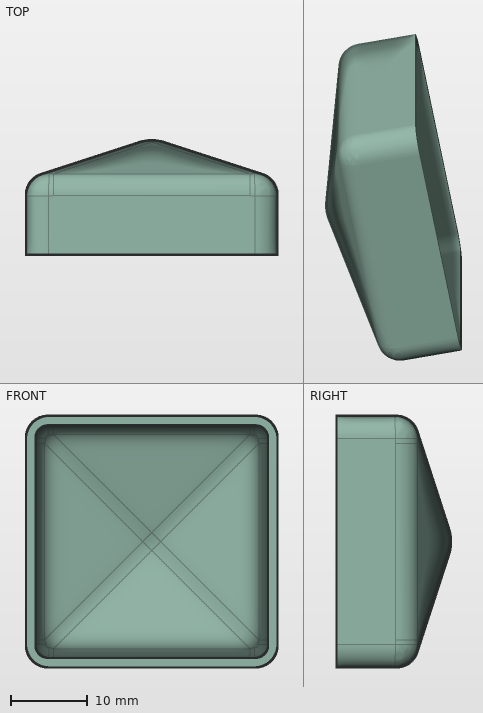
import cadquery as cq
import math

width = 32.9
height = 15.0
wall = 1.25
corner_radius = 3.0
eave_radius = 3.0
ridge_radius = 5.0
roof_angle = math.radians(18)
edge_tolerance = 0.003
rim_band = 0.5


def rounded_cap(inset):
    """Return the cap's outer shape shrunk inward by an even inset, standing on Z = 0."""
    half = width / 2 - inset
    eave = eave_radius - inset
    ridge = ridge_radius - inset
    sharp_apex = height - inset + ridge * (1 / math.cos(roof_angle) - 1)
    sharp_eave = sharp_apex - half * math.tan(roof_angle)
    block = cq.Workplane("XY").rect(2 * half, 2 * half).extrude(sharp_eave)
    corners = [(-half, -half), (half, -half), (half, half), (-half, half)]
    base = [cq.Vector(x, y, sharp_eave) for x, y in corners]
    apex = cq.Vector(0, 0, sharp_apex)
    faces = [cq.Face.makeFromWires(cq.Wire.makePolygon(base, close=True))]
    for start, end in zip(base, base[1:] + base[:1]):
        faces.append(cq.Face.makeFromWires(cq.Wire.makePolygon([start, end, apex], close=True)))
    roof = cq.Workplane(cq.Solid.makeSolid(cq.Shell.makeShell(faces)))
    cap = block.union(roof)
    edges = cap.edges().vals()
    ridges = [e for e in edges if e.BoundingBox().zmax > sharp_apex - edge_tolerance]
    cap = cap.newObject(ridges).fillet(ridge)
    cap = cap.edges("|Z").fillet(corner_radius - inset)
    rim = [e for e in cap.edges().vals() if abs(e.Center().z - sharp_eave) < rim_band]
    return cap.newObject(rim).fillet(eave)


cap = rounded_cap(0).cut(rounded_cap(wall))
result = cap.rotate((0, 0, 0), (1, 0, 0), -90)